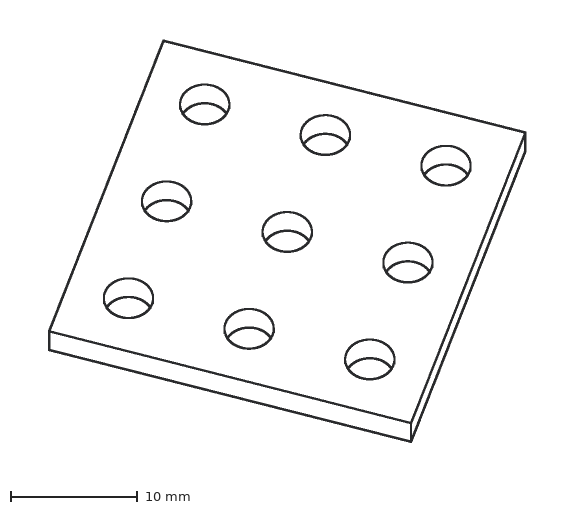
import cadquery as cq

side = 30.0
thickness = 2.5

holes_per_side = 3
hole_diameter = 3.9
hole_pitch = side / holes_per_side

plate = cq.Workplane("XY").box(side, side, thickness)

result = (
    plate.faces(">Z")
    .workplane()
    .rarray(hole_pitch, hole_pitch, holes_per_side, holes_per_side)
    .hole(hole_diameter)
)